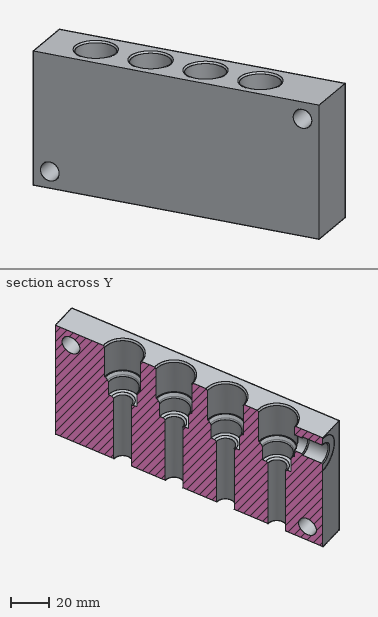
import cadquery as cq

length = 165.1
width = 31.7
height = 76.3

cavity_count = 4
cavity_pitch = width
first_cavity_x = 28.5
mouth_diameter = 23.6
thread_diameter = 22.0
mouth_depth = 1.0
thread_depth = 21.5
seat_diameter = 20.8
lead_in_diameter = 18.3
lead_in_depth = 23.1
nose_diameter = 17.3
nose_start_depth = 24.0
nose_depth = 33.0
throat_diameter = 13.2
bore_diameter = 10.7
throat_depth = 33.8

port_drop = 11.9
spotface_diameter = 22.3
spotface_depth = 0.2
port_mouth_diameter = 13.5
port_thread_diameter = 12.4
port_mouth_depth = 0.7
port_thread_depth = 12.4
port_cone_depth = 12.9
port_bore_diameter = 10.7

mount_diameter = 10.7
mount_inset = 9.5


def turned_cutter(steps):
    """Solid of revolution about Z, from (diameter, depth) pairs going down from Z = 0."""
    profile = cq.Workplane("XZ").moveTo(0, 0)
    for diameter, depth in steps:
        profile = profile.lineTo(diameter / 2, -depth)
    last_depth = steps[-1][1]
    return profile.lineTo(0, -last_depth).close().revolve(360, (0, 0, 0), (0, 1, 0))


def cavity_cutter():
    return turned_cutter([
        (mouth_diameter, 0),
        (thread_diameter, mouth_depth),
        (thread_diameter, thread_depth),
        (seat_diameter, thread_depth),
        (lead_in_diameter, lead_in_depth),
        (nose_diameter, nose_start_depth),
        (nose_diameter, nose_depth),
        (throat_diameter, nose_depth),
        (bore_diameter, throat_depth),
        (bore_diameter, height),
    ])


def port_cutter():
    """Side port with its axis along +X, ending on the axis of the first cavity."""
    thread_start = spotface_depth + port_mouth_depth
    cutter = turned_cutter([
        (spotface_diameter, 0),
        (spotface_diameter, spotface_depth),
        (port_mouth_diameter, spotface_depth),
        (port_thread_diameter, thread_start),
        (port_thread_diameter, port_thread_depth),
        (port_bore_diameter, port_cone_depth),
        (port_bore_diameter, first_cavity_x),
    ])
    return cutter.rotate((0, 0, 0), (0, 1, 0), -90)


result = cq.Workplane("XY").box(length, width, height, centered=(False, True, False))

for index in range(cavity_count):
    cavity_x = first_cavity_x + index * cavity_pitch
    result = result.cut(cavity_cutter().translate((cavity_x, 0, height)))

result = result.cut(port_cutter().translate((0, 0, height - port_drop)))

mount_centres = [
    (mount_inset, mount_inset),
    (length - mount_inset, height - mount_inset),
]
mount_holes = (
    cq.Workplane("XZ", origin=(0, width / 2, 0))
    .pushPoints(mount_centres)
    .circle(mount_diameter / 2)
    .extrude(width)
)
result = result.cut(mount_holes)